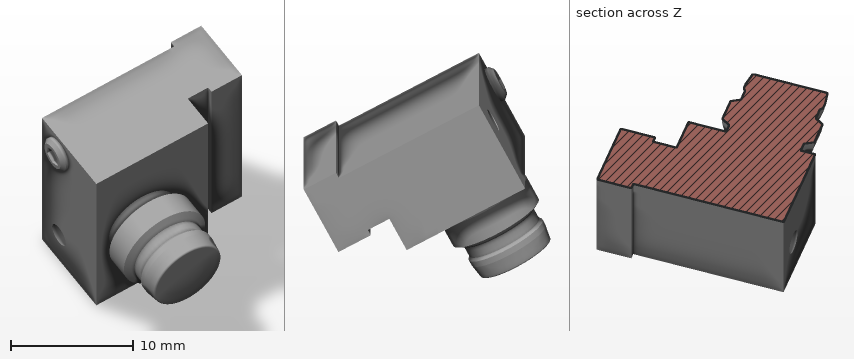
import cadquery as cq
import math

HEIGHT = 17.0
BLOCK_DEPTH = 16.0
BLOCK_LEFT = 0.5
BLOCK_RIGHT = 8.5
SHOULDER_Y = 11.0
NECK_RIGHT = 5.5

HEAD_LIP = 0.5
HEAD_THICKNESS = 3.0
HEAD_LEFT = BLOCK_LEFT - HEAD_LIP
HEAD_RIGHT = NECK_RIGHT + HEAD_LIP
HEAD_FRONT = BLOCK_DEPTH - HEAD_THICKNESS

CONNECTOR_Y = 4.5
CONNECTOR_Z = HEIGHT / 2
STEM_DIAMETER = 6.5
COLLAR_DIAMETER = 8.0
TIP_DIAMETER = 6.9
TIP_TAPERED_DIAMETER = 6.5
COLLAR_START = BLOCK_RIGHT + 0.75
COLLAR_WIDTH = 3.0
COLLAR_END = COLLAR_START + COLLAR_WIDTH
COLLAR_BEVEL_ANGLE = 60.0
TIP_START = 13.25
TIP_BEVEL = 0.25
TIP_TAPER_START = 14.0
CONNECTOR_END = 15.25
END_ROUND = 0.15

SCREW_X = 3.0
SCREW_Z = HEIGHT - 2.0
SCREW_DIAMETER = 3.0
SCREW_PROJECTION = 0.65
SCREW_CHAMFER = 0.33
SOCKET_ACROSS_FLATS = 1.5
SOCKET_DEPTH = 1.0
SOCKET_TILT = 3.0
HEX_SIDES = 6
CORNER_UP_TURN = 180 / HEX_SIDES
SOCKET_TIP_ANGLE = 120.0

HOLE_DIAMETER = 2.0
HOLE_DEPTH = 1.0
HOLE_Z = 3.5


def make_block():
    """Stepped block with the T-shaped head, extruded over the full height."""
    outline = [
        (BLOCK_LEFT, 0),
        (BLOCK_RIGHT, 0),
        (BLOCK_RIGHT, SHOULDER_Y),
        (NECK_RIGHT, SHOULDER_Y),
        (NECK_RIGHT, HEAD_FRONT),
        (HEAD_RIGHT, HEAD_FRONT),
        (HEAD_RIGHT, BLOCK_DEPTH),
        (HEAD_LEFT, BLOCK_DEPTH),
        (HEAD_LEFT, HEAD_FRONT),
        (BLOCK_LEFT, HEAD_FRONT),
    ]
    return cq.Workplane("XY").polyline(outline).close().extrude(HEIGHT)


def make_connector():
    """Solid of revolution about an axis parallel to X."""
    stem_radius = STEM_DIAMETER / 2
    collar_radius = COLLAR_DIAMETER / 2
    tip_radius = TIP_DIAMETER / 2
    tapered_radius = TIP_TAPERED_DIAMETER / 2
    collar_bevel = (collar_radius - stem_radius) / math.tan(math.radians(COLLAR_BEVEL_ANGLE))
    profile = [
        (BLOCK_RIGHT, 0),
        (BLOCK_RIGHT, stem_radius),
        (COLLAR_START, stem_radius),
        (COLLAR_START + collar_bevel, collar_radius),
        (COLLAR_END - collar_bevel, collar_radius),
        (COLLAR_END, stem_radius),
        (TIP_START, stem_radius),
        (TIP_START + TIP_BEVEL, tip_radius),
        (TIP_TAPER_START, tip_radius),
        (CONNECTOR_END, tapered_radius),
        (CONNECTOR_END, 0),
    ]
    return (
        cq.Workplane("XY")
        .polyline(profile)
        .close()
        .revolve(360, (0, 0, 0), (1, 0, 0))
        .faces(">X")
        .edges()
        .fillet(END_ROUND)
        .translate((0, CONNECTOR_Y, CONNECTOR_Z))
    )


def make_screw():
    """Chamfered end of the set screw, projecting toward -Y."""
    return (
        cq.Workplane("XZ", origin=(SCREW_X, 0, SCREW_Z))
        .circle(SCREW_DIAMETER / 2)
        .extrude(SCREW_PROJECTION)
        .faces("<Y")
        .chamfer(SCREW_CHAMFER)
    )


def make_socket():
    """Hexagon socket of the set screw, ending in a drill-point cone."""
    corner_radius = SOCKET_ACROSS_FLATS / 2 / math.cos(math.pi / HEX_SIDES)
    cone_depth = corner_radius / math.tan(math.radians(SOCKET_TIP_ANGLE / 2))
    full_depth = SOCKET_DEPTH + cone_depth
    hexagon = (
        cq.Workplane("XZ")
        .polygon(HEX_SIDES, 2 * corner_radius)
        .extrude(-full_depth)
        .rotate((0, 0, 0), (0, 1, 0), CORNER_UP_TURN + SOCKET_TILT)
    )
    half_section = [
        (0, 0),
        (corner_radius, 0),
        (corner_radius, SOCKET_DEPTH),
        (0, full_depth),
    ]
    pointed_envelope = (
        cq.Workplane("XY")
        .polyline(half_section)
        .close()
        .revolve(360, (0, 0, 0), (0, 1, 0))
    )
    return hexagon.intersect(pointed_envelope).translate((SCREW_X, -SCREW_PROJECTION, SCREW_Z))


def make_hole():
    """Flat-bottomed blind hole below the set screw."""
    return (
        cq.Workplane("XZ", origin=(SCREW_X, 0, HOLE_Z))
        .circle(HOLE_DIAMETER / 2)
        .extrude(-HOLE_DEPTH)
    )


body = make_block().union(make_connector()).union(make_screw())
result = body.cut(make_socket()).cut(make_hole())